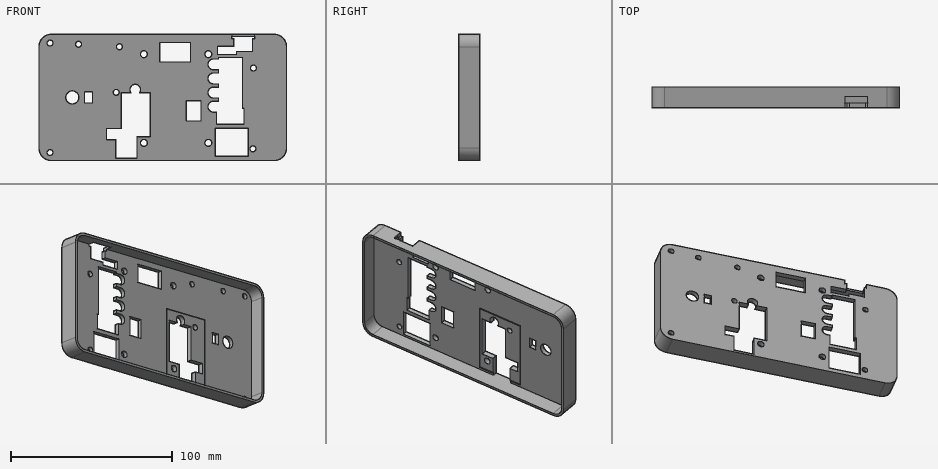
import cadquery as cq

WIDTH = 153.4
DEPTH = 13.0
HEIGHT = 78.4
CORNER_RADIUS = 7.8
WALL = 1.5
PLATE = 3.0

SMALL_HOLE_DIAMETER = 3.5
SMALL_HOLES = [
    (6.9, 72.9), (24.5, 72.1), (49.9, 70.5), (47.9, 42.3),
    (6.9, 5.0), (132.8, 57.4), (132.5, 7.4),
]
SCREW_HOLE_DIAMETER = 4.1
SCREW_COLUMNS = (65.0, 105.0)
SCREW_ROWS = (11.0, 66.0)

SENSOR_DIAMETER = 8.0
SENSOR_X = 20.7

WINDOWS = [
    (28.4, 33.1, 35.7, 42.6),
    (74.9, 93.9, 61.2, 73.2),
    (91.3, 100.3, 24.7, 37.1),
    (109.2, 129.6, 2.9, 20.1),
]

TALL_LEFT, TALL_RIGHT = 51.1, 68.9
TALL_BOTTOM, TALL_TOP = 14.9, 42.0
FOOT_LEFT, FOOT_RIGHT = 47.7, 60.7
ARM_LEFT = 41.9
ARM_BOTTOM, ARM_TOP = 13.0, 20.0
CABLE_HOLE_DIAMETER = 6.5
CABLE_HOLE_X, CABLE_HOLE_Z = 59.7, 44.0

PAD_RISE = 0.6
PAD_MARGIN = 2.0
PAD_BOTTOM = 3.5

TERMINAL_LEFT, TERMINAL_RIGHT = 111.4, 126.0
TERMINAL_BOTTOM, TERMINAL_TOP = 22.7, 63.8
TERMINAL_BASE_LEFT, TERMINAL_BASE_RIGHT = 110.0, 126.9
TERMINAL_BASE_RIGHT_TOP = 32.4
FINGER_COUNT = 4
FINGER_PITCH = 8.7
FINGER_WIDTH = 6.6
FINGER_TIP_X = 104.8
LOWEST_FINGER_Z = 33.5

SOCKET_LEFT, SOCKET_RIGHT = 120.7, 132.2
SOCKET_BOTTOM = 67.6
SOCKET_TAB_LEFT, SOCKET_TAB_RIGHT = 110.6, 122.3
SOCKET_TAB_BOTTOM, SOCKET_TAB_TOP = 65.8, 70.9
NOTCH_LEFT, NOTCH_RIGHT = 119.5, 133.6
NOTCH_BOTTOM = 75.6
NOTCH_DEPTH = 7.0


def block(left, right, bottom, top, depth):
    """Box from the front face back to the given depth."""
    return cq.Workplane("XY").box(
        right - left, depth, top - bottom, centered=False
    ).translate((left, 0, bottom))


def opening(left, right, bottom, top):
    """Rectangular cutter through the face plate and its pad."""
    return block(left, right, bottom, top, PLATE + PAD_RISE)


def round_cutter(points, diameter):
    """Round cutters through the face plate and its pad at (X, Z) points."""
    cutter_depth = PLATE + PAD_RISE
    return cq.Workplane("XZ").pushPoints(points).circle(diameter / 2).extrude(-cutter_depth)


def tray():
    """Round-cornered tray, open at the back."""
    shell = block(0, WIDTH, 0, HEIGHT, DEPTH).edges("|Y").fillet(CORNER_RADIUS)
    cavity = (
        block(WALL, WIDTH - WALL, WALL, HEIGHT - WALL, DEPTH - PLATE)
        .edges("|Y")
        .fillet(CORNER_RADIUS - WALL)
        .translate((0, PLATE, 0))
    )
    return shell.cut(cavity)


def window_pad():
    """Thickening of the plate around the stepped window."""
    cable_hole_top = CABLE_HOLE_Z + CABLE_HOLE_DIAMETER / 2
    return block(
        ARM_LEFT - PAD_MARGIN,
        TALL_RIGHT + PAD_MARGIN,
        PAD_BOTTOM,
        cable_hole_top + PAD_MARGIN,
        PLATE + PAD_RISE,
    )


def stepped_window():
    """Window of three joined rectangles with a round cable hole at its top edge."""
    window = opening(TALL_LEFT, TALL_RIGHT, TALL_BOTTOM, TALL_TOP)
    window = window.union(opening(FOOT_LEFT, FOOT_RIGHT, WALL, ARM_TOP))
    window = window.union(opening(ARM_LEFT, FOOT_RIGHT, ARM_BOTTOM, ARM_TOP))
    return window.union(round_cutter([(CABLE_HOLE_X, CABLE_HOLE_Z)], CABLE_HOLE_DIAMETER))


def terminal_window():
    """Stepped rectangular window with round-ended slots along its left edge."""
    window = opening(TERMINAL_LEFT, TERMINAL_RIGHT, TERMINAL_BOTTOM, TERMINAL_TOP)
    window = window.union(
        opening(TERMINAL_BASE_LEFT, TERMINAL_RIGHT, TERMINAL_BOTTOM, LOWEST_FINGER_Z)
    )
    window = window.union(
        opening(TERMINAL_LEFT, TERMINAL_BASE_RIGHT, TERMINAL_BOTTOM, TERMINAL_BASE_RIGHT_TOP)
    )
    finger_radius = FINGER_WIDTH / 2
    finger_center_x = FINGER_TIP_X + finger_radius
    for index in range(FINGER_COUNT):
        z = LOWEST_FINGER_Z + index * FINGER_PITCH
        window = window.union(round_cutter([(finger_center_x, z)], FINGER_WIDTH))
        window = window.union(
            opening(finger_center_x, TERMINAL_RIGHT, z - finger_radius, z + finger_radius)
        )
    return window


def socket_opening():
    """Opening in the plate joined to a notch in the top wall."""
    socket = opening(SOCKET_LEFT, SOCKET_RIGHT, SOCKET_BOTTOM, HEIGHT)
    socket = socket.union(
        opening(SOCKET_TAB_LEFT, SOCKET_TAB_RIGHT, SOCKET_TAB_BOTTOM, SOCKET_TAB_TOP)
    )
    return socket.union(block(NOTCH_LEFT, NOTCH_RIGHT, NOTCH_BOTTOM, HEIGHT, NOTCH_DEPTH))


screw_holes = [(x, z) for x in SCREW_COLUMNS for z in SCREW_ROWS]

result = tray().union(window_pad())
result = result.cut(round_cutter(SMALL_HOLES, SMALL_HOLE_DIAMETER))
result = result.cut(round_cutter(screw_holes, SCREW_HOLE_DIAMETER))
result = result.cut(round_cutter([(SENSOR_X, HEIGHT / 2)], SENSOR_DIAMETER))
for window_bounds in WINDOWS:
    result = result.cut(opening(*window_bounds))
result = result.cut(stepped_window())
result = result.cut(terminal_window())
result = result.cut(socket_opening())